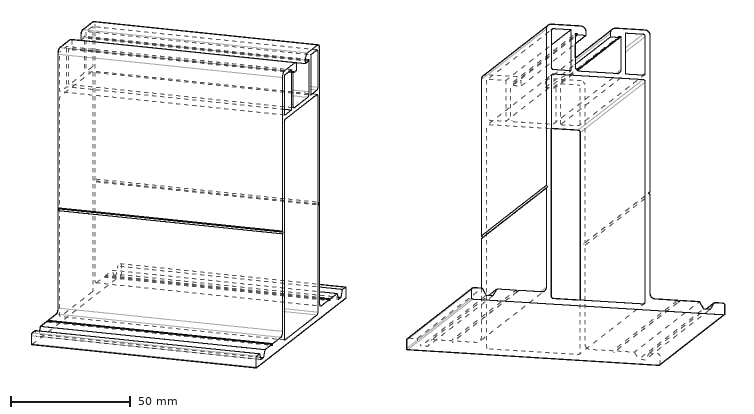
import cadquery as cq

length = 100.0
base_width = 110.0
height = 120.0

flange_height = 5.0
flange_edge_radius = 1.0
flange_root_radius = 2.0
bottom_edge_radius = 0.5
floor_thickness = 2.5

tower_width = 45.1
tower_corner_radius = 2.3
wall = 2.2
roof_thickness = 1.9
web_thickness = 1.9
deck_top = 100.5
deck_thickness = 1.9
cavity_radius = 1.0
chamber_radius = 1.0

channel_width = 19.9
channel_floor_radius = 1.9
slot_width = 10.5
lip_thickness = 4.0
lip_radius = 2.4
relief_width = 1.0
relief_depth = 0.5

drain_edge_distance = 7.8
drain_top_width = 6.5
drain_bottom_width = 2.9
drain_depth = 3.0

mark_width = 1.2
mark_depth = 0.6
flange_mark_edge_distance = 19.9
wall_mark_height = 50.2

base_half = base_width / 2
tower_half = tower_width / 2
channel_half = channel_width / 2
cavity_half = tower_half - wall
cavity_top = deck_top - deck_thickness
lip_bottom = height - lip_thickness
sides = (-1, 1)


def bar(y_min, y_max, z_min, z_max):
    """Full-length rectangular bar between the given Y and Z limits."""
    return (
        cq.Workplane("XY")
        .box(length, y_max - y_min, z_max - z_min, centered=(True, False, False))
        .translate((0, y_min, z_min))
    )


def side_bar(side, y_inner, y_outer, z_min, z_max):
    """Bar on one side of the symmetry plane."""
    limits = sorted((side * y_inner, side * y_outer))
    return bar(*limits, z_min, z_max)


def prism(points):
    """Full-length prism with the given YZ outline."""
    return cq.Workplane("YZ").polyline(points).close().extrude(length / 2, both=True)


def round_edges(body, places, radius):
    """Fillet the lengthwise edges at the given YZ places."""
    for y, z in places:
        body = body.edges(cq.selectors.NearestToPointSelector((0, y, z))).fillet(radius)
    return body


def make_outer_body():
    body = bar(-base_half, base_half, 0, flange_height)
    body = body.union(bar(-tower_half, tower_half, 0, height))
    body = round_edges(body, [(s * base_half, flange_height) for s in sides], flange_edge_radius)
    body = round_edges(body, [(s * base_half, 0) for s in sides], bottom_edge_radius)
    body = round_edges(body, [(s * tower_half, flange_height) for s in sides], flange_root_radius)
    return round_edges(body, [(s * tower_half, height) for s in sides], tower_corner_radius)


def make_main_cavity():
    cavity = bar(-cavity_half, cavity_half, floor_thickness, cavity_top)
    return cavity.edges("|X").fillet(cavity_radius)


def make_chamber(side):
    chamber_inner = channel_half + web_thickness
    chamber_top = height - roof_thickness
    chamber = side_bar(side, chamber_inner, cavity_half, deck_top, chamber_top)
    outer_corners = [(side * cavity_half, z) for z in (deck_top, chamber_top)]
    return round_edges(chamber, outer_corners, chamber_radius)


def cut_channel(body):
    channel = bar(-channel_half, channel_half, deck_top, lip_bottom)
    channel = channel.edges("|X and <Z").fillet(channel_floor_radius)
    body = body.cut(channel)
    body = body.cut(bar(-slot_width / 2, slot_width / 2, lip_bottom, height))
    for side in sides:
        relief_inner = channel_half - relief_width
        body = body.cut(side_bar(side, relief_inner, channel_half, lip_bottom, lip_bottom + relief_depth))
    return round_edges(body, [(s * slot_width / 2, height) for s in sides], lip_radius)


def make_drain_groove(side):
    center = side * (base_half - drain_edge_distance)
    bottom = flange_height - drain_depth
    return prism([
        (center - drain_top_width / 2, flange_height),
        (center - drain_bottom_width / 2, bottom),
        (center + drain_bottom_width / 2, bottom),
        (center + drain_top_width / 2, flange_height),
    ])


def make_flange_mark(side):
    center = side * (base_half - flange_mark_edge_distance)
    return prism([
        (center - mark_width / 2, flange_height),
        (center, flange_height - mark_depth),
        (center + mark_width / 2, flange_height),
    ])


def make_wall_mark(side):
    face = side * tower_half
    return prism([
        (face, wall_mark_height - mark_width / 2),
        (face - side * mark_depth, wall_mark_height),
        (face, wall_mark_height + mark_width / 2),
    ])


result = make_outer_body().cut(make_main_cavity())
result = cut_channel(result)
for side in sides:
    for make_cutter in (make_chamber, make_drain_groove, make_flange_mark, make_wall_mark):
        result = result.cut(make_cutter(side))